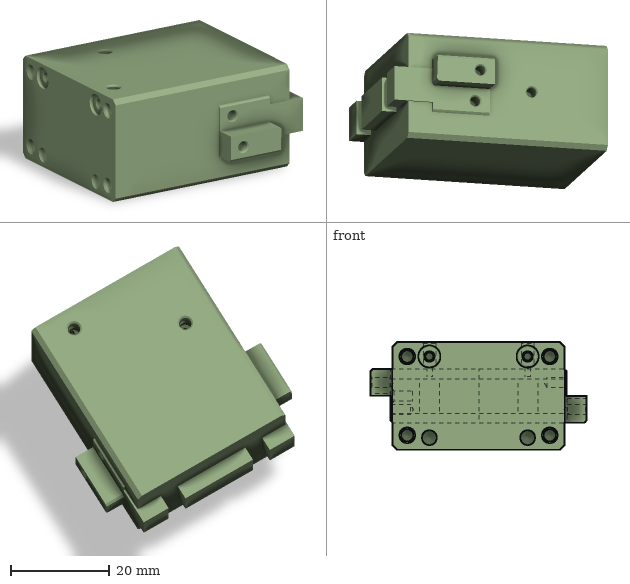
import cadquery as cq
import math


WIDTH = 35.0
HEIGHT = 22.0
LENGTH = 42.0
EDGE_CHAMFER = 1.0

NECK_LENGTH = 5.0
SLOT_FRONT = LENGTH - NECK_LENGTH
FLANGE_LENGTH = 12.0
FLANGE_REAR = SLOT_FRONT - FLANGE_LENGTH
FLANGE_HEIGHT = 11.0
NECK_HEIGHT = 7.0

JAW_WIDTH = 17.9
FINGER_LENGTH = 3.0
NOTCH_WIDTH = 4.0
OUTER_FINGER_WIDTH = 5.9
PAD_REACH = 22.0
PAD_HEIGHT = FLANGE_HEIGHT / 2
PAD_CHAMFER = 0.5
PAD_LEAN = 0.2
NECK_FILLET = 0.3

M3_BORE, M3_SINK = 2.5, 3.2
M25_BORE, M25_SINK = 2.05, 2.6
M2_BORE, M2_SINK = 1.6, 2.1
DRILL_POINT_ANGLE = 118

CORNER_HOLE_X = 14.5
CORNER_HOLE_Z = 8.0
CORNER_HOLE_DEPTH = 6.0

DOWEL_DIAMETER = 3.0
DOWEL_Z = -8.5
DOWEL_DEPTH = 6.0

PORT_X = 10.0
LEFT_PORT_Y = 15.0
RIGHT_PORT_Y = 4.3
PORT_DEPTH = 5.0
PASSAGE_DIAMETER = 1.1
PASSAGE_DEPTH = 2.0
RIGHT_PASSAGE_SHIFT = 0.7
SEAL_RECESS_DIAMETER = 4.5
SEAL_RECESS_DEPTH = 0.7

SIDE_HOLE_Y = 16.0
SIDE_HOLE_DEPTH = 4.0
JAW_HOLE_FROM_FLANGE_REAR = 3.0
JAW_HOLE_Y = FLANGE_REAR + JAW_HOLE_FROM_FLANGE_REAR
JAW_HOLE_DEPTH = 4.0

FORWARD = cq.Vector(0, 1, 0)
DOWN = cq.Vector(0, 0, -1)
RIGHTWARD = cq.Vector(1, 0, 0)


def box_between(x_range, y_range, z_range):
    sizes = [high - low for low, high in (x_range, y_range, z_range)]
    corner = (x_range[0], y_range[0], z_range[0])
    return cq.Workplane("XY").box(*sizes, centered=False).translate(corner)


def cylinder(mouth, direction, diameter, depth):
    return cq.Solid.makeCylinder(diameter / 2, depth, cq.Vector(*mouth), direction)


def countersink(mouth, direction, bore, sink):
    """A 90 degree cone frustum that widens the mouth of a bore."""
    return cq.Solid.makeCone(sink / 2, bore / 2, (sink - bore) / 2, cq.Vector(*mouth), direction)


def drill_point(mouth, direction, bore, depth):
    """The cone that a drill leaves at the bottom of a blind hole."""
    point_height = bore / 2 / math.tan(math.radians(DRILL_POINT_ANGLE / 2))
    bottom = cq.Vector(*mouth) + direction * depth
    return cq.Solid.makeCone(bore / 2, 0, point_height, bottom, direction)


def cut_flat_tapped_hole(body, mouth, direction, bore, sink, depth):
    body = body.cut(cylinder(mouth, direction, bore, depth))
    return body.cut(countersink(mouth, direction, bore, sink))


def cut_drilled_hole(body, mouth, direction, bore, depth):
    body = body.cut(cylinder(mouth, direction, bore, depth))
    return body.cut(drill_point(mouth, direction, bore, depth))


def cut_drilled_tapped_hole(body, mouth, direction, bore, sink, depth):
    body = cut_drilled_hole(body, mouth, direction, bore, depth)
    return body.cut(countersink(mouth, direction, bore, sink))


def make_housing_block():
    block = box_between((-WIDTH / 2, WIDTH / 2), (0, LENGTH), (-HEIGHT / 2, HEIGHT / 2))
    return block.edges("|Y").chamfer(EDGE_CHAMFER)


def cut_jaw_slot(housing):
    across = (-WIDTH / 2, WIDTH / 2)
    flange_slot = box_between(
        across, (FLANGE_REAR, SLOT_FRONT), (-FLANGE_HEIGHT / 2, FLANGE_HEIGHT / 2)
    )
    neck_slot = box_between(across, (SLOT_FRONT, LENGTH), (-NECK_HEIGHT / 2, NECK_HEIGHT / 2))
    return housing.cut(flange_slot).cut(neck_slot)


def cut_rear_mounting_holes(housing):
    for side in (-1, 1):
        for level in (-1, 1):
            mouth = (side * CORNER_HOLE_X, 0, level * CORNER_HOLE_Z)
            housing = cut_drilled_tapped_hole(
                housing, mouth, FORWARD, M3_BORE, M3_SINK, CORNER_HOLE_DEPTH
            )
        dowel_mouth = (side * PORT_X, 0, DOWEL_Z)
        housing = cut_drilled_hole(housing, dowel_mouth, FORWARD, DOWEL_DIAMETER, DOWEL_DEPTH)
    return housing


def cut_air_port(housing, x, y, passage_y):
    top_mouth = (x, y, HEIGHT / 2)
    housing = cut_flat_tapped_hole(housing, top_mouth, DOWN, M3_BORE, M3_SINK, PORT_DEPTH)
    passage_mouth = (x, passage_y, HEIGHT / 2 - PORT_DEPTH)
    housing = housing.cut(cylinder(passage_mouth, DOWN, PASSAGE_DIAMETER, PASSAGE_DEPTH))

    recess_mouth = (x, 0, CORNER_HOLE_Z)
    housing = housing.cut(
        cylinder(recess_mouth, FORWARD, SEAL_RECESS_DIAMETER, SEAL_RECESS_DEPTH)
    )
    inlet_mouth = (x, SEAL_RECESS_DEPTH, CORNER_HOLE_Z)
    inlet_depth = y - SEAL_RECESS_DEPTH
    return cut_flat_tapped_hole(
        housing, inlet_mouth, FORWARD, M2_BORE, M2_SINK, inlet_depth
    )


def make_housing():
    housing = cut_jaw_slot(make_housing_block())
    housing = cut_rear_mounting_holes(housing)
    housing = cut_air_port(housing, -PORT_X, LEFT_PORT_Y, LEFT_PORT_Y)
    housing = cut_air_port(housing, PORT_X, RIGHT_PORT_Y, RIGHT_PORT_Y - RIGHT_PASSAGE_SHIFT)
    side_mouth = (-WIDTH / 2, SIDE_HOLE_Y, 0)
    return cut_flat_tapped_hole(
        housing, side_mouth, RIGHTWARD, M25_BORE, M25_SINK, SIDE_HOLE_DEPTH
    )


def make_pad():
    """The block outside the housing; its front face leans back and is chamfered at the bottom."""
    front = SLOT_FRONT + PAD_LEAN
    pad = (
        cq.Workplane("YZ", origin=(-PAD_REACH, 0, 0))
        .moveTo(FLANGE_REAR, 0)
        .lineTo(front - PAD_CHAMFER, 0)
        .lineTo(front, PAD_CHAMFER)
        .lineTo(SLOT_FRONT, PAD_HEIGHT)
        .lineTo(FLANGE_REAR, PAD_HEIGHT)
        .close()
        .extrude(PAD_REACH - JAW_WIDTH)
    )
    return pad.edges("<X and >Z").chamfer(PAD_CHAMFER)


def make_left_jaw():
    tip = LENGTH + FINGER_LENGTH
    across = (-JAW_WIDTH, 0)
    flange = box_between(
        across, (FLANGE_REAR, SLOT_FRONT), (-FLANGE_HEIGHT / 2, FLANGE_HEIGHT / 2)
    )
    flange = flange.edges("<X and <Z").chamfer(PAD_CHAMFER)
    neck = box_between(across, (SLOT_FRONT, tip), (-NECK_HEIGHT / 2, NECK_HEIGHT / 2))
    notch_start = OUTER_FINGER_WIDTH - JAW_WIDTH
    notch = box_between(
        (notch_start, notch_start + NOTCH_WIDTH),
        (LENGTH, tip),
        (-NECK_HEIGHT / 2, NECK_HEIGHT / 2),
    )
    jaw = flange.union(neck).cut(notch).union(make_pad())

    corner = cq.selectors.BoxSelector(
        (-JAW_WIDTH - PAD_LEAN, SLOT_FRONT, PAD_CHAMFER),
        (-JAW_WIDTH + PAD_LEAN, SLOT_FRONT + PAD_LEAN, NECK_HEIGHT / 2),
    )
    jaw = jaw.edges(corner).fillet(NECK_FILLET)

    for x, level in ((-PAD_REACH, 1), (-JAW_WIDTH, -1)):
        mouth = (x, JAW_HOLE_Y, level * PAD_HEIGHT / 2)
        jaw = cut_drilled_tapped_hole(jaw, mouth, RIGHTWARD, M25_BORE, M25_SINK, JAW_HOLE_DEPTH)
    return jaw


housing = make_housing()

left_jaw = make_left_jaw()
jaws = [left_jaw.rotate((0, 0, 0), (0, 1, 0), turn) for turn in (0, 180)]

result = cq.Compound.makeCompound([housing.val(), *[jaw.val() for jaw in jaws]])